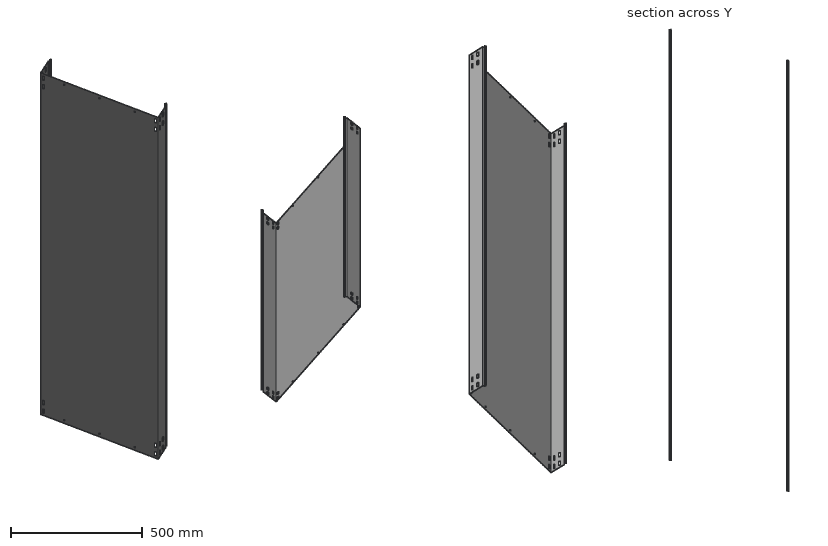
import cadquery as cq
import math

width = 500.0
depth = 80.0
height = 2000.0
sheet = 2.0

curl_length = 7.5
curl_width = 6.8
curl_tilt = 40.0
flange_lean = 90.0 - curl_tilt

edge_hole_diameter = 5.0
edge_hole_spacing = 150.0
edge_hole_inset = 18.0

slot_length = 25.0
slot_end_gap = 13.0
slot_row_spacing = 50.0

panel_slot_width = 8.0
panel_slot_inset = 12.0

wide_slot_width = 10.0
wide_slot_setback = 42.0
narrow_slot_width = 5.0
narrow_slot_setback = 15.0

slot_end_inset = slot_end_gap + slot_length / 2
half_width = width / 2
slot_insets = (slot_end_inset, slot_end_inset + slot_row_spacing)
slot_heights = [*slot_insets, *(height - inset for inset in slot_insets)]


def step(point, angle, length):
    """Point reached from another by going a length at an angle in degrees from +X."""
    turn = math.radians(angle)
    return (point[0] + length * math.cos(turn), point[1] + length * math.sin(turn))


def prism(points):
    """Full-height prism over a closed outline in plan."""
    return cq.Workplane("XY").polyline(points).close().extrude(height)


def rectangle(corner, angle, length, width):
    """Corners of a rectangle with its length at an angle in degrees from +X."""
    far_corner = step(corner, angle, length)
    return [corner, far_corner, step(far_corner, angle + 90, width), step(corner, angle + 90, width)]


def make_left_wall():
    """Left wall, its inward-leaning flange and the hollow curl that the flange ends in."""
    along = curl_tilt
    across = curl_tilt + 90

    outer_corner = (-half_width, depth - curl_length * math.sin(math.radians(along)))
    front_corner = step(outer_corner, across, -curl_width)
    curl = prism(rectangle(front_corner, along, curl_length, curl_width))
    bore_corner = step(step(front_corner, along, sheet), across, sheet)
    bore = prism(rectangle(bore_corner, along, curl_length - 2 * sheet, curl_width - 2 * sheet))

    flange_run = (front_corner[0] + half_width) / math.cos(math.radians(along))
    outside_bend = step(front_corner, along, -flange_run)
    bend_shift = sheet * math.tan(math.radians(flange_lean / 2))
    inside_bend = (-half_width + sheet, outside_bend[1] - bend_shift)
    flange_end = step(front_corner, along, curl_length / 2)
    wall = prism(
        [
            (-half_width, 0),
            (-half_width + sheet, 0),
            inside_bend,
            step(flange_end, across, -sheet),
            flange_end,
            outside_bend,
        ]
    )
    return wall.union(curl.cut(bore))


def make_channel():
    """Front panel between two mirrored side walls."""
    panel = cq.Workplane("XY").box(width, sheet, height, centered=(True, False, False))
    left_wall = make_left_wall()
    return panel.union(left_wall).union(left_wall.mirror("YZ"))


def panel_holes():
    """Round holes along the ends of the front panel."""
    points = [
        (x, z)
        for x in (-edge_hole_spacing, 0, edge_hole_spacing)
        for z in (edge_hole_inset, height - edge_hole_inset)
    ]
    plane = cq.Workplane("XZ").pushPoints(points)
    return plane.circle(edge_hole_diameter / 2).extrude(-sheet)


def panel_slots():
    """Rounded slots in the corners of the front panel."""
    offset = half_width - panel_slot_inset
    points = [(x, z) for x in (-offset, offset) for z in slot_heights]
    plane = cq.Workplane("XZ").pushPoints(points)
    return plane.slot2D(slot_length, panel_slot_width, 90).extrude(-sheet)


def side_slots(slot_width, setback):
    """Rounded slots through both side walls at one distance behind the panel."""
    points = [(setback, z) for z in slot_heights]
    plane = cq.Workplane("YZ").pushPoints(points)
    return plane.slot2D(slot_length, slot_width, 90).extrude(half_width, both=True)


result = (
    make_channel()
    .cut(panel_holes())
    .cut(panel_slots())
    .cut(side_slots(wide_slot_width, wide_slot_setback))
    .cut(side_slots(narrow_slot_width, narrow_slot_setback))
)